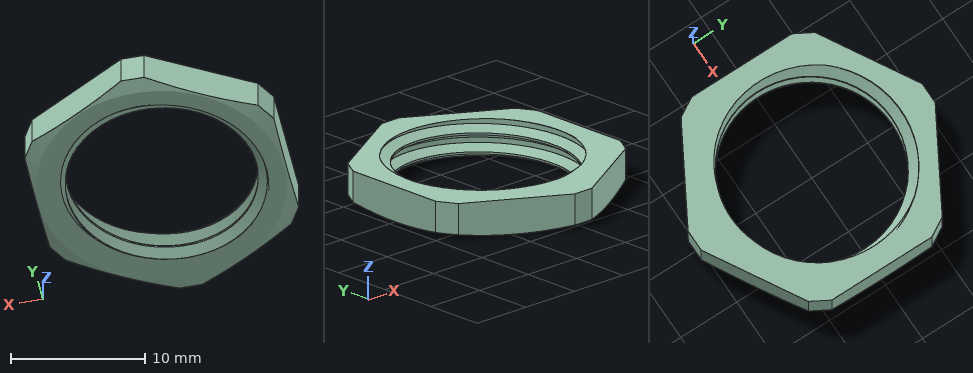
import cadquery as cq
import math

across_flats = 19.0
across_corner_flats = 20.93
height = 2.87
seat_diameter = 18.71
chamfer_height = 0.35

minor_radius = 7.2
major_radius = 8.0
pitch = 1.5
crest_flat = 0.17
root_flat = 0.42
root_angle = 90.0
lead_turns = 1
overlap = 0.05


def hexagonal_prism(width_across_flats, turn):
    """Hexagonal prism of the nut height, turned about Z by an angle in degrees."""
    point_diameter = width_across_flats / math.cos(math.pi / 6)
    prism = cq.Workplane("XY").polygon(6, point_diameter).extrude(height)
    return prism.rotate((0, 0, 0), (0, 0, 1), turn)


def chamfer_envelope():
    """Solid of revolution whose conical lower end chamfers the bottom edges."""
    rim_radius = across_corner_flats / 2
    seat_radius = seat_diameter / 2
    cone_height = 2 * chamfer_height
    outer_radius = seat_radius + 2 * (rim_radius - seat_radius)
    return (
        cq.Workplane("XZ")
        .lineTo(seat_radius, 0)
        .lineTo(outer_radius, cone_height)
        .lineTo(outer_radius, height)
        .lineTo(0, height)
        .close()
        .revolve(360, (0, 0, 0), (0, 1, 0))
    )


def nut_blank():
    """Hexagon with flats facing +X and -X, flat-cut corners and a bottom chamfer."""
    main_hexagon = hexagonal_prism(across_flats, 30)
    corner_hexagon = hexagonal_prism(across_corner_flats, 0)
    return main_hexagon.intersect(corner_hexagon).intersect(chamfer_envelope())


def thread_groove():
    """Helical trapezoidal groove running past both end faces."""
    turns = math.ceil(height / pitch) + 2 * lead_turns
    start_z = height - (turns - lead_turns) * pitch
    mouth_width = pitch - crest_flat
    flank_slope = (mouth_width - root_flat) / 2 / (major_radius - minor_radius)
    inner_radius = minor_radius - overlap
    inner_half_width = mouth_width / 2 + overlap * flank_slope

    helix = cq.Wire.makeHelix(pitch, turns * pitch, minor_radius)
    groove = (
        cq.Workplane("XZ")
        .moveTo(inner_radius, -inner_half_width)
        .lineTo(major_radius, -root_flat / 2)
        .lineTo(major_radius, root_flat / 2)
        .lineTo(inner_radius, inner_half_width)
        .close()
        .sweep(cq.Workplane(obj=helix), isFrenet=True)
    )
    return groove.rotate((0, 0, 0), (0, 0, 1), root_angle).translate((0, 0, start_z))


bore = cq.Workplane("XY").circle(minor_radius).extrude(height)
result = nut_blank().cut(bore).cut(thread_groove())